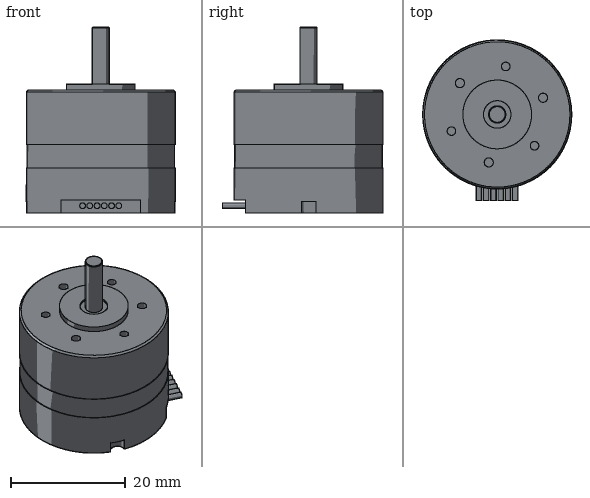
import cadquery as cq
import math

body_diameter = 26.0
body_radius = body_diameter / 2
cover_height = 2.27
body_top = 21.48
body_chamfer = 0.32

band_diameter = 25.8
band_bottom = 7.85
band_top = 11.95

boss_diameter = 12.0
boss_height = 1.0
boss_top = body_top + boss_height
recess_diameter = 4.8
recess_depth = 0.32

shaft_diameter = 3.0
shaft_top = 32.4
shaft_chamfer = 0.13

hole_circle_radius = 8.5
hole_depth = 2.0
holes_per_set = 3
hole_sets = [(1.5, 80), (1.6, 20)]

flat_distance = 10.98
notch_radius = 1.25
notch_height = 2.0

wire_count = 6
wire_diameter = 1.0
wire_pitch = 1.25
wire_height = 1.3
wire_end = 15.0
wire_embed = 0.97


def cylinder(diameter, bottom, top):
    return cq.Workplane("XY").workplane(offset=bottom).circle(diameter / 2).extrude(top - bottom)


def make_housing():
    can = cylinder(body_diameter, 0, body_top).faces(">Z").edges().chamfer(body_chamfer)
    band_ring = cylinder(body_diameter, band_bottom, band_top).cut(
        cylinder(band_diameter, band_bottom, band_top)
    )
    boss = cylinder(boss_diameter, body_top, boss_top)
    recess = cylinder(recess_diameter, boss_top - recess_depth, boss_top)
    return can.cut(band_ring).union(boss).cut(recess)


def make_shaft():
    shaft = cylinder(shaft_diameter, body_top, shaft_top)
    return shaft.faces(">Z").edges().chamfer(shaft_chamfer)


def make_mounting_holes():
    holes = cq.Workplane("XY")
    for diameter, first_angle in hole_sets:
        hole = cylinder(diameter, body_top - hole_depth, body_top)
        for index in range(holes_per_set):
            angle = math.radians(first_angle + index * 360 / holes_per_set)
            x = hole_circle_radius * math.cos(angle)
            y = hole_circle_radius * math.sin(angle)
            holes = holes.add(hole.translate((x, y, 0)))
    return holes.combine()


def make_cover_cuts():
    flat = cq.Workplane("XY").box(
        body_diameter, body_radius - flat_distance, cover_height, centered=(True, False, False)
    ).translate((0, -body_radius, 0))
    notches = (
        cq.Workplane("XY")
        .pushPoints([(-body_radius, 0), (body_radius, 0)])
        .circle(notch_radius)
        .extrude(notch_height)
    )
    return flat.union(notches)


def make_wires():
    row_half_width = (wire_count - 1) * wire_pitch / 2
    centers = [(index * wire_pitch - row_half_width, wire_height) for index in range(wire_count)]
    return (
        cq.Workplane("XZ", origin=(0, -flat_distance + wire_embed, 0))
        .pushPoints(centers)
        .circle(wire_diameter / 2)
        .extrude(wire_end - flat_distance + wire_embed)
    )


housing = make_housing().cut(make_mounting_holes()).cut(make_cover_cuts())
result = housing.union(make_shaft()).union(make_wires())